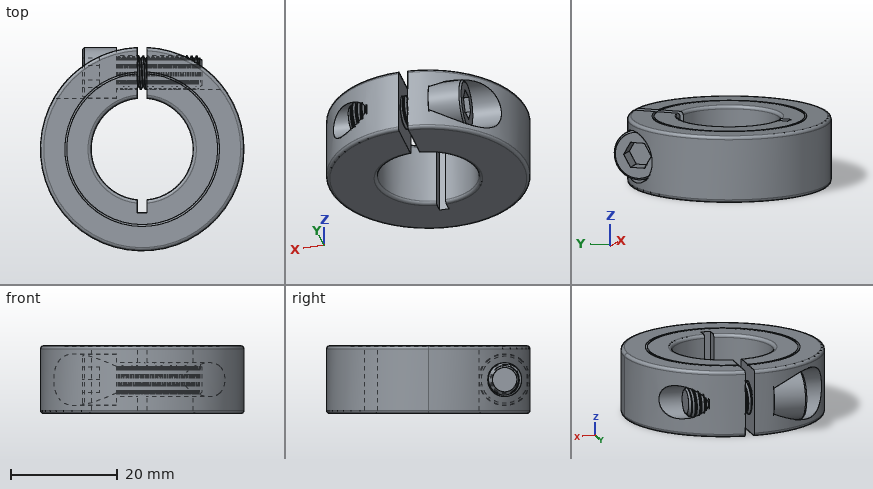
import cadquery as cq
import math

INCH = 25.4

collar_diameter = 1.5 * INCH
bore_diameter = 0.75 * INCH
collar_width = 0.5 * INCH
edge_radius = 0.62
groove_diameter = 28.58
groove_radius = 0.18
slit_width = 1.8
relief_reach = 11.9
half_width = collar_width / 2

screw_offset = 0.5625 * INCH
thread_diameter = INCH / 4
thread_pitch = INCH / 28
head_diameter = 9.48
head_height = thread_diameter
head_chamfer = 0.35
hex_across_flats = 0.1875 * INCH
hex_depth = head_height / 2
seat_x = -4.78
shank_length = 16.0
tip_chamfer = 0.9
thread_phase = 0.73

thread_radius = thread_diameter / 2
thread_depth = 0.6134 * thread_pitch
root_radius = thread_radius - thread_depth
flank_angle = math.radians(30)
crest_flat = thread_pitch / 8
root_overlap = 0.05
recess_clearance = 0.1


def make_clamp_screw():
    """Build the screw along +Z with its seat at z = 0, then lay it along X."""
    run_out = 1.5 * thread_pitch
    core_run_out = 2 * run_out
    core = (
        cq.Workplane("XY").workplane(offset=-core_run_out)
        .circle(root_radius)
        .extrude(shank_length + 2 * core_run_out)
    )
    inner_radius = root_radius - root_overlap
    half_crest = crest_flat / 2
    flank_slope = math.tan(flank_angle)
    half_base = half_crest + (thread_radius - inner_radius) * flank_slope
    helix = cq.Wire.makeHelix(thread_pitch, shank_length + 2 * run_out, thread_radius)
    ridge = (
        cq.Workplane("XZ")
        .polyline([
            (inner_radius, -half_base),
            (thread_radius, -half_crest),
            (thread_radius, half_crest),
            (inner_radius, half_base),
        ])
        .close()
        .sweep(cq.Workplane(obj=helix), isFrenet=True)
        .translate((0, 0, thread_phase * thread_pitch - run_out))
    )

    tip_radius = thread_radius - tip_chamfer
    outer_radius = 2 * thread_radius
    cut_end = shank_length + 2 * core_run_out
    tip_cutter = (
        cq.Workplane("XZ")
        .polyline([
            (0, shank_length),
            (tip_radius, shank_length),
            (outer_radius, shank_length + tip_radius - outer_radius),
            (outer_radius, cut_end),
            (0, cut_end),
        ])
        .close()
        .revolve(360, (0, 0, 0), (0, 1, 0))
    )
    shank = core.union(ridge, clean=False).cut(tip_cutter, clean=False)

    head = (
        cq.Workplane("XY").circle(head_diameter / 2).extrude(-head_height)
        .faces("<Z").chamfer(head_chamfer)
    )
    hex_across_corners = hex_across_flats / math.cos(math.pi / 6)
    socket = (
        cq.Workplane("XY").workplane(offset=-head_height)
        .polygon(6, hex_across_corners)
        .extrude(hex_depth)
        .rotate((0, 0, 0), (0, 0, 1), 90)
    )
    screw = shank.union(head).cut(socket)
    return screw.rotate((0, 0, 0), (0, 1, 0), 90).translate((seat_x, screw_offset, 0))


def make_collar():
    ring = (
        cq.Workplane("XY").workplane(offset=-half_width)
        .circle(collar_diameter / 2).circle(bore_diameter / 2)
        .extrude(collar_width)
        .faces("<Z or >Z").edges().fillet(edge_radius)
    )

    groove = cq.Workplane("XY").add(
        cq.Solid.makeTorus(groove_diameter / 2, groove_radius, cq.Vector(0, 0, half_width))
    )

    slit_end = collar_diameter
    slit = cq.Workplane("XY").box(
        slit_width, relief_reach + slit_end, 2 * collar_width
    ).translate((0, (slit_end - relief_reach) / 2, 0))

    screw_line = cq.Workplane("YZ", origin=(seat_x, 0, 0)).center(screw_offset, 0)
    passage = screw_line.circle(thread_radius).extrude(collar_diameter)
    recess = screw_line.circle(head_diameter / 2 + recess_clearance).extrude(-collar_diameter)
    return ring.cut(groove).cut(slit).cut(passage).cut(recess)


collar = make_collar()
clamp_screw = make_clamp_screw()
result = cq.Compound.makeCompound([collar.val(), clamp_screw.val()])